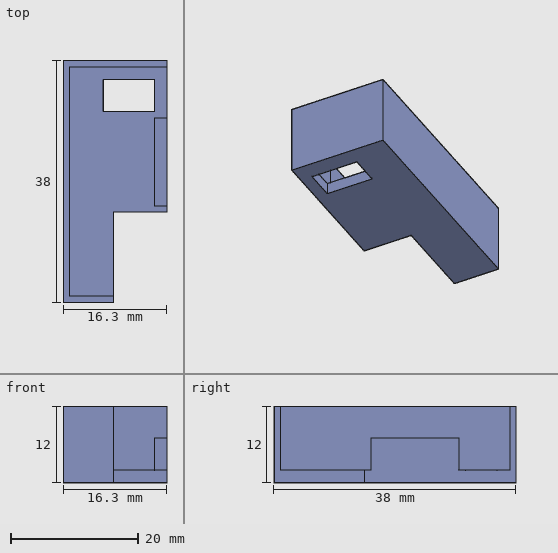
import cadquery as cq

width = 16.3
length = 38.0
height = 12.0

floor_thickness = 2.0
wall_thickness = 1.0

leg_width = 7.9
leg_length = 14.2

rail_width = 2.0
rail_top = 7.0
rail_front_gap = 1.0
rail_length = 13.8

window_width = 8.0
window_length = 5.0
window_right_margin = 2.0
window_back_margin = 3.0


def box(x_min, y_min, z_min, size_x, size_y, size_z):
    """Box placed by its minimum corner."""
    return cq.Workplane("XY").box(size_x, size_y, size_z, centered=False).translate((x_min, y_min, z_min))


def make_outer_block():
    """Full-height block with the stepped plan outline."""
    return (
        cq.Workplane("XY")
        .moveTo(0, 0)
        .lineTo(leg_width, 0)
        .lineTo(leg_width, leg_length)
        .lineTo(width, leg_length)
        .lineTo(width, length)
        .lineTo(0, length)
        .close()
        .extrude(height)
    )


def make_cavity():
    """Space above the floor, open to the right, leaving the left, front and back walls."""
    return box(
        wall_thickness,
        wall_thickness,
        floor_thickness,
        width - wall_thickness,
        length - 2 * wall_thickness,
        height - floor_thickness,
    )


def make_window():
    """Cutter for the opening through the floor near the back wall."""
    return box(
        width - window_right_margin - window_width,
        length - window_back_margin - window_length,
        0,
        window_width,
        window_length,
        floor_thickness,
    )


def make_rail():
    """Rail standing on the right edge, rooted in the floor."""
    return box(
        width - rail_width,
        leg_length + rail_front_gap,
        0,
        rail_width,
        rail_length,
        rail_top,
    )


tray = make_outer_block().cut(make_cavity()).cut(make_window())
result = tray.union(make_rail())